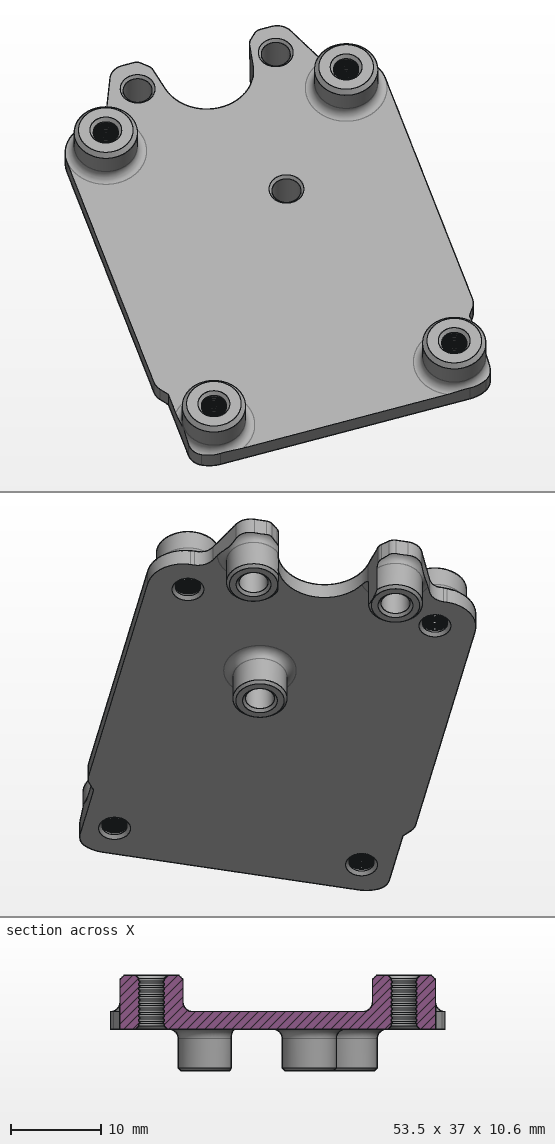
import cadquery as cq
import math

length = 53.5
half_width = 18.5
plate_thickness = 2.0

boss_diameter = 7.0
boss_height = 4.0
boss_hole_diameter = 2.55
boss_chamfer = 0.5
ridge_height = 0.1
ridge_count = 10
boss_x_places = (10.5, 49.5)
boss_y = 13.95

pin_diameter = 6.0
pin_height = 4.6
pin_hole_diameter = 3.2
pin_chamfer = 0.3
lug_pin_x = 3.55
lug_pin_y = 8
middle_pin_place = (21.5, 3.5)

root_fillet = 1.0

shoulder_radius = 4.0

shoulder_x = 6.55
shoulder_flat = 0.45
lug_radius = 2.0
lug_slope = math.radians(23)
lug_tip_low_y = 7.35
lug_bevel_radius = 1.0
lug_bevel_slope = math.radians(45)
slot_radius = 5.2
slot_wall_slope = math.radians(10)

narrow_half_width = 17.5
corner_radius = 2.0
step_end_x = 44.05
step_radius = 2.0
step_slope = math.radians(35)


def on_circle(center, radius, angle):
    return (center[0] + radius * math.cos(angle), center[1] + radius * math.sin(angle))


def add_arc(path, center, radius, start, end):
    """Run a line to the start of an arc, then follow the arc to its end angle."""
    path = path.lineTo(*on_circle(center, radius, start))
    middle = on_circle(center, radius, (start + end) / 2)
    return path.threePointArc(middle, on_circle(center, radius, end))


def half_outline():
    """Upper half of the plate outline, from the slot round to the right edge."""
    right, up, left, down = 0, math.pi / 2, math.pi, -math.pi / 2

    slot_center = (lug_pin_x, 0)
    wall_angle = up - slot_wall_slope
    wall_end = on_circle(slot_center, slot_radius, wall_angle)

    bevel_center = (lug_bevel_radius, lug_tip_low_y)
    bevel_angle = left + lug_bevel_slope
    bevel_start = on_circle(bevel_center, lug_bevel_radius, bevel_angle)

    bevel_tan = math.tan(lug_bevel_slope)
    wall_tan = math.tan(slot_wall_slope)
    bevel_at_zero = bevel_start[1] + bevel_start[0] * bevel_tan
    wall_at_zero = wall_end[1] + wall_end[0] * wall_tan
    meet_x = (bevel_at_zero - wall_at_zero) / (bevel_tan - wall_tan)
    meet_y = wall_at_zero - meet_x * wall_tan
    meet_setback = lug_bevel_radius * math.tan((lug_bevel_slope - slot_wall_slope) / 2)
    heel_x = meet_x + meet_setback * math.cos(slot_wall_slope)
    heel_y = meet_y - meet_setback * math.sin(slot_wall_slope)
    heel_center = on_circle((heel_x, heel_y), lug_bevel_radius, wall_angle)

    shoulder_center = (shoulder_x + shoulder_radius, half_width - shoulder_radius)
    neck_center = (shoulder_x - lug_radius, shoulder_center[1] - shoulder_flat)
    neck_end_angle = down + lug_slope
    neck_end = on_circle(neck_center, lug_radius, neck_end_angle)

    tip_angle = up + lug_slope
    tip_x = lug_radius * (1 - math.sin(lug_slope))
    tip_y = neck_end[1] - (neck_end[0] - tip_x) * math.tan(lug_slope)
    tip_center = on_circle((tip_x, tip_y), lug_radius, tip_angle + math.pi)

    round_run = step_radius * math.sin(step_slope)
    round_drop = step_radius * (1 - math.cos(step_slope))
    ramp_drop = half_width - narrow_half_width - round_drop
    step_start_x = step_end_x - ramp_drop / math.tan(step_slope) - round_run
    step_center = (step_start_x, half_width - step_radius)

    end_center = (length - shoulder_radius, half_width - shoulder_radius)
    center_rise = narrow_half_width - corner_radius - end_center[1]
    corner_end_angle = math.asin(center_rise / (shoulder_radius - corner_radius))
    corner_center = on_circle(end_center, shoulder_radius - corner_radius, corner_end_angle)

    path = cq.Workplane("XY").moveTo(*on_circle(slot_center, slot_radius, right))
    slot_middle = on_circle(slot_center, slot_radius, wall_angle / 2)
    path = path.threePointArc(slot_middle, wall_end)
    path = add_arc(path, heel_center, lug_bevel_radius, wall_angle + math.pi, bevel_angle)
    path = add_arc(path, bevel_center, lug_bevel_radius, bevel_angle, left)
    path = add_arc(path, tip_center, lug_radius, left, tip_angle)
    path = add_arc(path, neck_center, lug_radius, neck_end_angle, right)
    path = add_arc(path, shoulder_center, shoulder_radius, left, up)
    path = add_arc(path, step_center, step_radius, up, up - step_slope)
    path = path.lineTo(step_end_x, narrow_half_width)
    path = add_arc(path, corner_center, corner_radius, up, corner_end_angle)
    end_middle = on_circle(end_center, shoulder_radius, corner_end_angle / 2)
    path = path.threePointArc(end_middle, (length, end_center[1]))
    return path.lineTo(length, 0).close()


def outline_prism(bottom, height):
    upper = half_outline().extrude(height)
    return upper.union(upper.mirror("XZ")).translate((0, 0, bottom)).clean()


def standoff(diameter, height, chamfer):
    """Round post rising from Z = 0 with a concave fillet at its root and a chamfered rim."""
    radius = diameter / 2
    fillet_middle = on_circle((radius + root_fillet, root_fillet), root_fillet, math.radians(225))
    profile = (
        cq.Workplane("XZ")
        .lineTo(radius + root_fillet, 0)
        .threePointArc(fillet_middle, (radius, root_fillet))
        .lineTo(radius, height - chamfer)
        .lineTo(radius - chamfer, height)
        .lineTo(0, height)
        .close()
    )
    return profile.revolve(360, (0, 0), (0, 1))


def bore(diameter, mouth_diameter, bottom, top, ridge_height=0, ridges=0):
    """Through-hole cutter with 45 degree mouths and an optional stack of square ring ridges."""
    radius = diameter / 2
    root_radius = radius + ridge_height
    mouth_radius = mouth_diameter / 2
    mouth_depth = mouth_radius - root_radius
    wall_bottom = bottom + mouth_depth
    wall_top = top - mouth_depth
    profile = (
        cq.Workplane("XZ")
        .moveTo(0, bottom)
        .lineTo(mouth_radius, bottom)
        .lineTo(root_radius, wall_bottom)
    )
    band = (wall_top - wall_bottom) / (2 * ridges + 1)
    for i in range(ridges):
        ridge_bottom = wall_bottom + (2 * i + 1) * band
        ridge_top = ridge_bottom + band
        profile = (
            profile.lineTo(root_radius, ridge_bottom)
            .lineTo(radius, ridge_bottom)
            .lineTo(radius, ridge_top)
            .lineTo(root_radius, ridge_top)
        )
    profile = profile.lineTo(root_radius, wall_top).lineTo(mouth_radius, top).lineTo(0, top).close()
    return profile.revolve(360, (0, 0), (0, 1))


boss_places = [(x, side * boss_y) for x in boss_x_places for side in (1, -1)]
pin_places = [(lug_pin_x, lug_pin_y), (lug_pin_x, -lug_pin_y), middle_pin_place]
boss_top = plate_thickness + boss_height

boss = standoff(boss_diameter, boss_height, boss_chamfer).translate((0, 0, plate_thickness))
pin = standoff(pin_diameter, pin_height, pin_chamfer).mirror("XY")
boss_mouth_diameter = boss_hole_diameter + 2 * boss_chamfer
boss_bore = bore(boss_hole_diameter, boss_mouth_diameter, 0, boss_top, ridge_height, ridge_count)
pin_mouth_diameter = pin_hole_diameter + 2 * pin_chamfer
pin_bore = bore(pin_hole_diameter, pin_mouth_diameter, -pin_height, plate_thickness)

boss_envelope = outline_prism(plate_thickness, boss_height)
pin_envelope = outline_prism(-pin_height, pin_height)

result = outline_prism(0, plate_thickness)
for x, y in boss_places:
    result = result.union(boss.translate((x, y, 0)).intersect(boss_envelope))
for x, y in pin_places:
    result = result.union(pin.translate((x, y, 0)).intersect(pin_envelope))
for x, y in boss_places:
    result = result.cut(boss_bore.translate((x, y, 0)))
for x, y in pin_places:
    result = result.cut(pin_bore.translate((x, y, 0)))